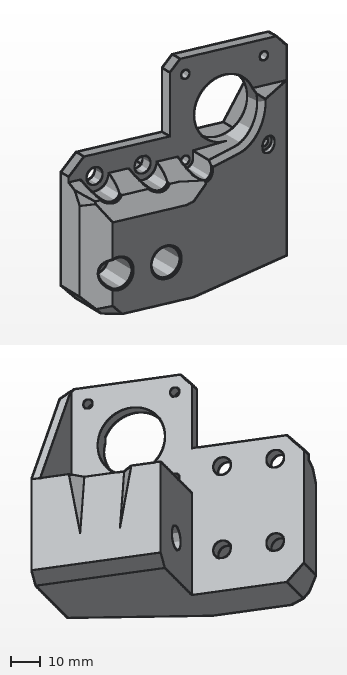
import cadquery as cq
import math

TOTAL_X = 50.0
TOTAL_Y = 86.0
TOTAL_Z = 80.0

PLATE_FRONT_X = 30.0
PLATE_BACK_X = 35.0
STEP_Y = 39.9
STEP_Z = 52.9
WING_CHAMFER = 6.0
CORNER_CHAMFER = 4.0

BOLT_YS = (10.2, 29.15)
BOLT_ZS = (15.0, 45.0)
BOLT_DIAMETER = 6.3
BOLT_HEAD_DIAMETER = 11.0
BORE_RIM_CHAMFER = 0.5

BLOCK_TOP_Z = 36.8
GUSSET_THICKNESS = 3.2
ROD_HOLE_DIAMETER = 8.3
ROD_X = PLATE_FRONT_X / 2
ROD_Z = BOLT_ZS[0]

MOTOR_Y = 61.5
MOTOR_Z = 58.5
MOTOR_BORE_DIAMETER = 24.0
SCREW_SPACING = 31.0
SCREW_DIAMETER = 3.3
SCREW_HEAD_DIAMETER = 6.0
POCKET_CHAMFER = 2.0
POCKET_CHAMFER_DEPTH = 2.1
FLOOR_TILT = 3.0
SCREW_YS = (MOTOR_Y - SCREW_SPACING / 2, MOTOR_Y + SCREW_SPACING / 2)
SCREW_ZS = (MOTOR_Z - SCREW_SPACING / 2, MOTOR_Z + SCREW_SPACING / 2)

NOTCH_DEPTH = CORNER_CHAMFER
NOTCH_WIDTH = 14.2
NOTCH_HEIGHT = BLOCK_TOP_Z - ROD_Z

WEDGE_TOP_Z = 63.3
WEDGE_SLOPE = (TOTAL_X - PLATE_BACK_X) / (TOTAL_Y - STEP_Y)
SPLIT_Y = SCREW_YS[0]
BACK_EDGE_CHAMFER = 8.0
BACK_CORNER_CHAMFER = CORNER_CHAMFER
ROOF_EDGE_Z = 44.9
ROOF_ANGLE = math.radians(22)
ROOF_CHAMFER = 5.0
ROOF_BEND_Y = 37.0
ROOF_BEND_SKEW = -0.13
ROOF_CORNER = (38.9, 0, 43.3)
ROOF_CORNER_NORMAL = (25.3, -30.4, 17.5)

REACH = 3 * TOTAL_Y


def box(x0, x1, y0, y1, z0, z1):
    """Box between opposite corners."""
    size = (x1 - x0, y1 - y0, z1 - z0)
    return cq.Workplane("XY").box(*size, centered=False).translate((x0, y0, z0))


def rod_along_x(diameter, x0, x1, y, z):
    return cq.Workplane("YZ", origin=(x0, y, z)).circle(diameter / 2).extrude(x1 - x0)


def half_space(point, normal):
    """Large block on the outer side of the plane through a point."""
    return cq.Workplane(cq.Plane(origin=point, normal=normal)).rect(REACH, REACH).extrude(REACH)


def wedge_face_x(y):
    """X of the sloped back face of the wedge."""
    return TOTAL_X - WEDGE_SLOPE * (y - STEP_Y)


def make_plate():
    outline = [
        (WING_CHAMFER, 0),
        (TOTAL_Y, 0),
        (TOTAL_Y, TOTAL_Z - CORNER_CHAMFER),
        (TOTAL_Y - CORNER_CHAMFER, TOTAL_Z),
        (STEP_Y + CORNER_CHAMFER, TOTAL_Z),
        (STEP_Y, TOTAL_Z - CORNER_CHAMFER),
        (STEP_Y, STEP_Z),
        (WING_CHAMFER, STEP_Z),
        (0, STEP_Z - WING_CHAMFER),
        (0, WING_CHAMFER),
    ]
    start = cq.Workplane("YZ", origin=(PLATE_FRONT_X, 0, 0))
    return start.polyline(outline).close().extrude(PLATE_BACK_X - PLATE_FRONT_X)


def make_notch():
    """Notch with a sloping floor and sides that flare towards the front."""
    half = NOTCH_WIDTH / 2
    mouth = half + NOTCH_DEPTH
    profile = [(0, ROD_Z), (NOTCH_DEPTH, BLOCK_TOP_Z), (0, BLOCK_TOP_Z)]
    start = cq.Workplane("XZ", origin=(0, MOTOR_Y + mouth, 0))
    notch = start.polyline(profile).close().extrude(2 * mouth)
    for side in (-1, 1):
        corner = (0, MOTOR_Y + side * half, ROD_Z)
        notch = notch.cut(half_space(corner, (1, side, -NOTCH_DEPTH / NOTCH_HEIGHT)))
    return notch


def make_block():
    block = box(0, PLATE_FRONT_X, STEP_Y, TOTAL_Y, 0, BLOCK_TOP_Z)
    block = block.edges("<X and <Z").chamfer(CORNER_CHAMFER)
    start = cq.Workplane("XZ", origin=(ROD_X, TOTAL_Y, ROD_Z))
    rod_hole = start.circle(ROD_HOLE_DIAMETER / 2).extrude(TOTAL_Y - STEP_Y)
    return block.cut(rod_hole).cut(make_notch())


def make_gusset():
    outline = [(0, BLOCK_TOP_Z), (PLATE_FRONT_X, BLOCK_TOP_Z), (PLATE_FRONT_X, TOTAL_Z)]
    start = cq.Workplane("XZ", origin=(0, TOTAL_Y, 0))
    gusset = start.polyline(outline).close().extrude(GUSSET_THICKNESS)
    return gusset.cut(half_space((0, TOTAL_Y, TOTAL_Z - CORNER_CHAMFER), (0, 1, 1)))


def bore_ellipse(x, slope, radius):
    """Section of a cylinder around the bore axis on a sloping plane that meets the axis at x."""
    plane = cq.Plane(origin=(x, MOTOR_Y, MOTOR_Z), xDir=(-slope, 1, 0), normal=(1, slope, 0))
    return cq.Workplane(plane).ellipse(radius * math.hypot(1, slope), radius).wires().val()


def make_bore_flare():
    """Flared bore rim: a cone around the bore axis, sheared to follow the sloped face."""
    radius = MOTOR_BORE_DIAMETER / 2
    flared = radius + POCKET_CHAMFER
    axis_x = wedge_face_x(MOTOR_Y)
    inner = bore_ellipse(axis_x - POCKET_CHAMFER_DEPTH, WEDGE_SLOPE * flared / radius, radius)
    outer = bore_ellipse(axis_x, WEDGE_SLOPE, flared)
    return cq.Workplane(cq.Solid.makeLoft([inner, outer], True))


def make_floor_chamfer():
    """Chamfer where the pocket floor meets the sloped face."""
    radius = MOTOR_BORE_DIAMETER / 2
    tilt = math.radians(FLOOR_TILT)
    stretch = math.hypot(1, WEDGE_SLOPE)
    tangent_y = MOTOR_Y + radius * math.sin(tilt)
    tangent_z = MOTOR_Z - radius * math.cos(tilt)
    point = (wedge_face_x(tangent_y) - POCKET_CHAMFER_DEPTH, tangent_y, tangent_z)
    normal = (1 / stretch, WEDGE_SLOPE / stretch - math.sin(tilt), math.cos(tilt))
    return half_space(point, normal).intersect(box(0, REACH, 0, tangent_y, 0, REACH))


def make_wedge():
    """Wedge behind the motor; its pocket has a tilted floor beside the bore and a chamfered rim."""
    outline = [(PLATE_BACK_X, SPLIT_Y), (wedge_face_x(SPLIT_Y), SPLIT_Y), (PLATE_BACK_X, TOTAL_Y)]
    wedge = cq.Workplane("XY").polyline(outline).close().extrude(WEDGE_TOP_Z)
    floor_z = MOTOR_Z - MOTOR_BORE_DIAMETER / 2
    floor_cut = box(PLATE_BACK_X, TOTAL_X, 0, MOTOR_Y, floor_z, TOTAL_Z)
    floor_cut = floor_cut.rotate((0, MOTOR_Y, MOTOR_Z), (TOTAL_X, MOTOR_Y, MOTOR_Z), FLOOR_TILT)
    bore = rod_along_x(MOTOR_BORE_DIAMETER, PLATE_BACK_X, TOTAL_X, MOTOR_Y, MOTOR_Z)
    wedge = wedge.cut(floor_cut).cut(bore)
    wedge = wedge.cut(make_floor_chamfer()).cut(make_bore_flare())
    return wedge.cut(half_space((PLATE_BACK_X, 0, WEDGE_TOP_Z), (1, 0, 1)))


def make_wing_body():
    """Body behind the wing, under a roof that falls towards the back."""
    outline = [
        (PLATE_BACK_X, 0),
        (TOTAL_X - BACK_EDGE_CHAMFER, 0),
        (TOTAL_X, BACK_EDGE_CHAMFER),
        (TOTAL_X, STEP_Y),
        (wedge_face_x(SPLIT_Y), SPLIT_Y),
        (PLATE_BACK_X, SPLIT_Y),
    ]
    body = cq.Workplane("XY").polyline(outline).close().extrude(STEP_Z)

    roof_normal = (math.sin(ROOF_ANGLE), 0, math.cos(ROOF_ANGLE))
    body = body.cut(half_space((PLATE_BACK_X, 0, ROOF_EDGE_Z), roof_normal))
    eave_z = ROOF_EDGE_Z - (TOTAL_X - PLATE_BACK_X) * math.tan(ROOF_ANGLE)
    eave = (TOTAL_X, ROOF_BEND_Y, eave_z - ROOF_CHAMFER)
    tilt = (math.pi / 2 + ROOF_ANGLE) / 2
    straight = half_space(eave, (math.sin(tilt), 0, math.cos(tilt)))
    skewed = half_space(eave, (math.sin(tilt), ROOF_BEND_SKEW, math.cos(tilt)))
    body = body.cut(straight.intersect(box(0, REACH, -REACH, ROOF_BEND_Y, 0, REACH)))
    body = body.cut(skewed.intersect(box(0, REACH, ROOF_BEND_Y, REACH, 0, REACH)))

    body = body.cut(half_space(ROOF_CORNER, ROOF_CORNER_NORMAL))
    body = body.cut(half_space((0, WING_CHAMFER, 0), (0, -1, -1)))
    lower_corner = (TOTAL_X - BACK_CORNER_CHAMFER, WING_CHAMFER, 0)
    return body.cut(half_space(lower_corner, (math.sqrt(2), -1, -1)))


def cut_bolt_holes(part):
    """Bolt holes with head bores, whose rims are chamfered."""
    radius = BOLT_HEAD_DIAMETER / 2
    half = 0.8 * radius
    rim_x = TOTAL_X - BACK_EDGE_CHAMFER
    for y in BOLT_YS:
        for z in BOLT_ZS:
            part = part.cut(rod_along_x(BOLT_DIAMETER, 0, TOTAL_X, y, z))
            part = part.cut(rod_along_x(BOLT_HEAD_DIAMETER, PLATE_BACK_X, TOTAL_X, y, z))
            around_rim = cq.selectors.BoxSelector(
                (rim_x, y - half, z - radius), (TOTAL_X + 0.9, y + half, z + radius)
            )
            part = part.edges(around_rim).chamfer(BORE_RIM_CHAMFER)
    return part


def cut_motor_holes(part):
    """Bore and screw holes; lower screw heads sit in bores, one opened upward into a slot."""
    part = part.cut(rod_along_x(MOTOR_BORE_DIAMETER, PLATE_FRONT_X, PLATE_BACK_X, MOTOR_Y, MOTOR_Z))
    for y in SCREW_YS:
        for z in SCREW_ZS:
            part = part.cut(rod_along_x(SCREW_DIAMETER, PLATE_FRONT_X, TOTAL_X, y, z))
        part = part.cut(rod_along_x(SCREW_HEAD_DIAMETER, PLATE_BACK_X, TOTAL_X, y, SCREW_ZS[0]))
    radius = SCREW_HEAD_DIAMETER / 2
    slot = box(PLATE_BACK_X, TOTAL_X, SPLIT_Y - radius, SPLIT_Y + radius, SCREW_ZS[0], TOTAL_Z)
    part = part.cut(slot)
    face_x = wedge_face_x(SPLIT_Y + radius)
    around_rim = cq.selectors.BoxSelector(
        (face_x - 0.9, SPLIT_Y + radius / 4, SCREW_ZS[0] - radius),
        (TOTAL_X, SPLIT_Y + radius + 0.9, SCREW_ZS[0] + radius / 2),
    )
    return part.edges(around_rim).chamfer(BORE_RIM_CHAMFER)


result = make_plate().union(make_block()).union(make_gusset())
result = result.union(make_wedge()).union(make_wing_body())
result = cut_motor_holes(result)
result = cut_bolt_holes(result)